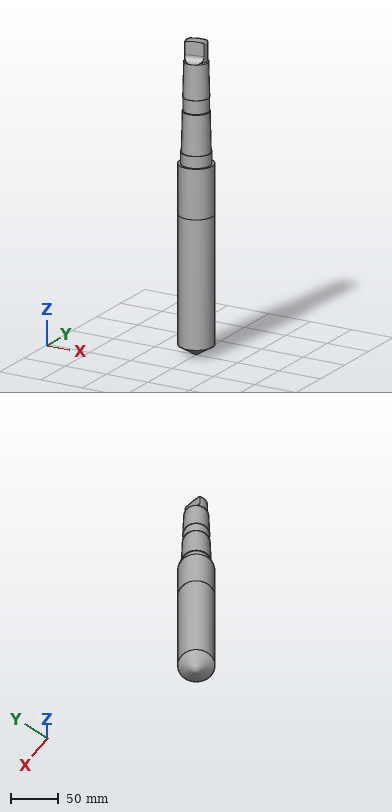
import cadquery as cq
import math

drill_diameter = 39.0
point_angle = 118.0
cutting_length = 156.0

overall_length = 349.0
shank_length = 124.0
collar_length = 13.0
collar_diameter = 33.27
taper_large_diameter = 31.6
taper_ratio = 1 / 19.254
relief_diameter = 27.8
relief_length = 16.0
relief_top_depth = 63.0
tang_length = 24.0
tang_diameter = 24.4
tang_thickness = 11.8
tang_runout_radius = 8.0
tang_shoulder_height = 1.2
tang_tip_slope = 6.0
tang_tip_round_radius = 2.4
tang_turn = 11.5

drill_radius = drill_diameter / 2
collar_radius = collar_diameter / 2
tang_radius = tang_diameter / 2
relief_radius = relief_diameter / 2
point_height = drill_radius / math.tan(math.radians(point_angle / 2))

shank_base = overall_length - shank_length
collar_base = shank_base - collar_length
relief_top = overall_length - relief_top_depth
relief_base = relief_top - relief_length
tang_base = overall_length - tang_length
flat_base = tang_base + tang_runout_radius


def taper_radius(level):
    """Radius of the Morse taper at a level along the axis."""
    return (taper_large_diameter - (level - shank_base) * taper_ratio) / 2


tip_angle = math.radians(tang_tip_slope)
tip_rim_radius = tang_radius - tang_tip_round_radius * (1 - math.sin(tip_angle))
tip_rim_level = overall_length - tip_rim_radius * math.tan(tip_angle)
tip_round_base = tip_rim_level - tang_tip_round_radius * math.cos(tip_angle)

relief_top_slope = taper_radius(relief_top) - relief_radius
relief_base_slope = taper_radius(relief_base) - relief_radius


def make_cutting_end():
    profile = (
        cq.Workplane("XZ")
        .moveTo(0, 0)
        .lineTo(drill_radius, point_height)
        .lineTo(drill_radius, cutting_length)
        .lineTo(0, cutting_length)
        .close()
    )
    return profile.revolve(360, (0, 0, 0), (0, 1, 0))


def make_turned_shank():
    profile = (
        cq.Workplane("XZ")
        .moveTo(0, cutting_length)
        .lineTo(drill_radius, cutting_length)
        .lineTo(drill_radius, collar_base)
        .lineTo(collar_radius, collar_base)
        .lineTo(collar_radius, shank_base)
        .lineTo(taper_radius(shank_base), shank_base)
        .lineTo(taper_radius(relief_base), relief_base)
        .lineTo(relief_radius, relief_base + relief_base_slope)
        .lineTo(relief_radius, relief_top - relief_top_slope)
        .lineTo(taper_radius(relief_top), relief_top)
        .lineTo(taper_radius(tang_base), tang_base)
        .lineTo(tang_radius, tang_base + tang_shoulder_height)
        .lineTo(tang_radius, tip_round_base)
        .radiusArc((tip_rim_radius, tip_rim_level), -tang_tip_round_radius)
        .lineTo(0, overall_length)
        .close()
    )
    return profile.revolve(360, (0, 0, 0), (0, 1, 0))


def make_tang_flat_cutter(side):
    """Waste beside one tang flat, with a round cutter run-out at its foot."""
    flat = side * tang_thickness / 2
    runout_end = flat + side * tang_runout_radius
    profile = (
        cq.Workplane("YZ")
        .moveTo(flat, overall_length)
        .lineTo(flat, flat_base)
        .radiusArc((runout_end, tang_base), -side * tang_runout_radius)
        .lineTo(runout_end, overall_length)
        .close()
    )
    return profile.extrude(drill_radius, both=True)


def make_holder():
    holder = make_turned_shank()
    for side in (-1, 1):
        holder = holder.cut(make_tang_flat_cutter(side))
    return holder.rotate((0, 0, 0), (0, 0, 1), tang_turn)


cutting_end = make_cutting_end()
holder = make_holder()

result = cq.Compound.makeCompound([cutting_end.val(), holder.val()])